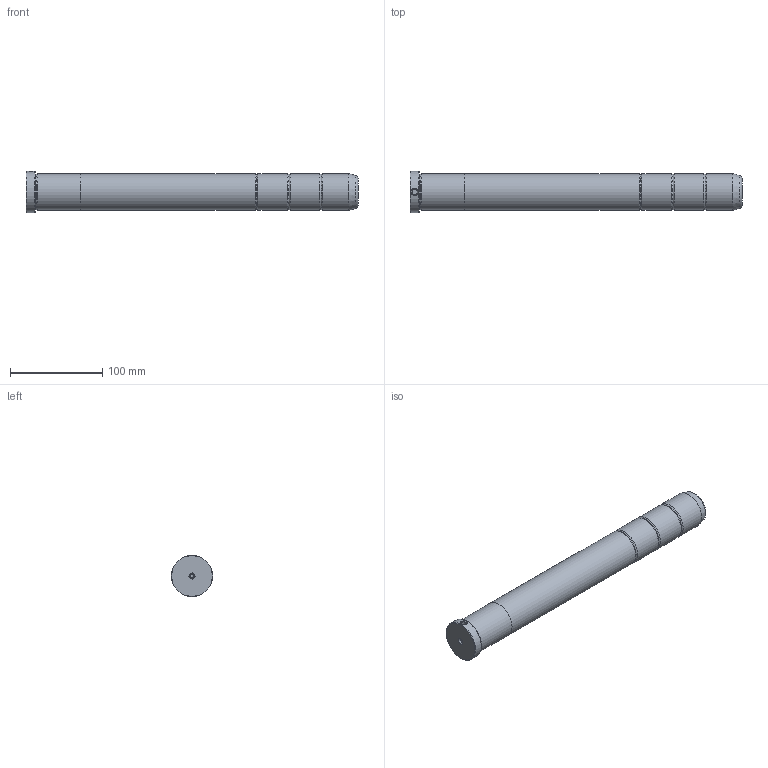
import cadquery as cq
import math

TOTAL_LENGTH = 360.0
HEAD_DIAMETER = 45.0
HEAD_LENGTH = 10.0
HEAD_CHAMFER = 0.5
PILLAR_DIAMETER = 40.0

SEAT_END = 59.0
SEAT_OVERSIZE = 0.02

UNDERCUT_WIDTH = 2.0
UNDERCUT_DEPTH = 0.5

GROOVE_COUNT = 3
GROOVE_PITCH = 35.0
LAST_GROOVE_FROM_END = 40.0
GROOVE_WIDTH = 3.0
GROOVE_DEPTH = 0.8

LEAD_IN_LENGTH = 10.0
TAPER_ANGLE = 15.0
TIP_RADIUS = 3.0

CENTRE_HOLE_DIAMETER = 4.0
CENTRE_SINK_DIAMETER = 6.6
CENTRE_SINK_ANGLE = 60.0

CROSS_HOLE_DIAMETER = 6.0
CROSS_SINK_DIAMETER = 8.0
CROSS_SINK_ANGLE = 90.0

PILLAR_RADIUS = PILLAR_DIAMETER / 2
HEAD_RADIUS = HEAD_DIAMETER / 2
CROSS_HOLE_X = HEAD_LENGTH / 2
CROSS_HOLE_DEPTH = HEAD_RADIUS + CENTRE_HOLE_DIAMETER / 2


def turned_body():
    """Revolve the stepped outline, from the head face to the free end, about X."""
    seat_start = HEAD_LENGTH + UNDERCUT_WIDTH
    seat_radius = PILLAR_RADIUS + SEAT_OVERSIZE / 2
    undercut_radius = PILLAR_RADIUS - UNDERCUT_DEPTH
    taper_start = TOTAL_LENGTH - LEAD_IN_LENGTH
    end_radius = PILLAR_RADIUS - LEAD_IN_LENGTH * math.tan(math.radians(TAPER_ANGLE))
    outline = (
        cq.Workplane("XZ")
        .moveTo(0, 0)
        .lineTo(0, HEAD_RADIUS - HEAD_CHAMFER)
        .lineTo(HEAD_CHAMFER, HEAD_RADIUS)
        .lineTo(HEAD_LENGTH - HEAD_CHAMFER, HEAD_RADIUS)
        .lineTo(HEAD_LENGTH, HEAD_RADIUS - HEAD_CHAMFER)
        .lineTo(HEAD_LENGTH, undercut_radius)
        .lineTo(seat_start - UNDERCUT_DEPTH, undercut_radius)
        .lineTo(seat_start, seat_radius)
        .lineTo(SEAT_END, seat_radius)
        .lineTo(SEAT_END, PILLAR_RADIUS)
        .lineTo(taper_start, PILLAR_RADIUS)
        .lineTo(TOTAL_LENGTH, end_radius)
        .lineTo(TOTAL_LENGTH, 0)
        .close()
    )
    body = outline.revolve(360, (0, 0, 0), (1, 0, 0))
    return body.faces(">X").edges().fillet(TIP_RADIUS)


def oil_groove(centre_x):
    """Ring with a V-shaped section, cut into the pillar around centre_x."""
    half_width = GROOVE_WIDTH / 2
    section = (
        cq.Workplane("XZ")
        .moveTo(centre_x - half_width, PILLAR_RADIUS)
        .lineTo(centre_x, PILLAR_RADIUS - GROOVE_DEPTH)
        .lineTo(centre_x + half_width, PILLAR_RADIUS)
        .lineTo(centre_x + half_width, HEAD_RADIUS)
        .lineTo(centre_x - half_width, HEAD_RADIUS)
        .close()
    )
    return section.revolve(360, (0, 0, 0), (1, 0, 0))


def countersunk_hole(plane, bore_diameter, sink_diameter, sink_angle, depth):
    """Round hole going against the plane normal, with a countersink of the given full angle."""
    sink_depth = (sink_diameter - bore_diameter) / 2 / math.tan(math.radians(sink_angle / 2))
    bore = cq.Workplane(plane).circle(bore_diameter / 2).extrude(-depth)
    sink = (
        cq.Workplane(plane)
        .circle(sink_diameter / 2)
        .workplane(offset=-sink_depth)
        .circle(bore_diameter / 2)
        .loft()
    )
    return bore.union(sink)


result = turned_body()
for index in range(GROOVE_COUNT):
    result = result.cut(oil_groove(TOTAL_LENGTH - LAST_GROOVE_FROM_END - index * GROOVE_PITCH))

head_top = cq.Plane(origin=(CROSS_HOLE_X, 0, HEAD_RADIUS), xDir=(1, 0, 0), normal=(0, 0, 1))
head_face = cq.Plane(origin=(0, 0, 0), xDir=(0, 1, 0), normal=(-1, 0, 0))
result = result.cut(
    countersunk_hole(head_top, CROSS_HOLE_DIAMETER, CROSS_SINK_DIAMETER, CROSS_SINK_ANGLE, CROSS_HOLE_DEPTH)
)
result = result.cut(
    countersunk_hole(head_face, CENTRE_HOLE_DIAMETER, CENTRE_SINK_DIAMETER, CENTRE_SINK_ANGLE, CROSS_HOLE_X)
)